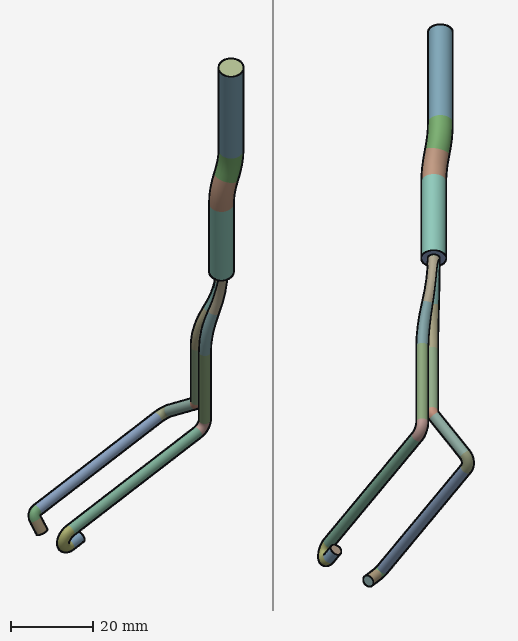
import cadquery as cq
import math

total_height = 130.6
handle_diameter = 6.1
handle_length = 70.0
handle_jog = 3.4
handle_jog_depth = 37.3
handle_jog_span = 15.7

wire_diameter = 3.0
wire_jog = 5.9
wire_jog_depth = 12.1
wire_jog_span = 22.2
wire_spread = 2.7

main_rail_height = 9.8
main_bend_radius = 2.6
hook_radius = 2.5
hook_reach = 57.0
hook_return = 3.7

side_rail_height = 5.1
side_rail_offset = 13.6
side_arm_angle = 46.0
side_arm_bend_radius = 2.0
side_rail_bend_radius = 2.6
tip_reach = 56.0
tip_angle = 52.0
tip_bend_radius = 1.6

shortest_straight = 0.01

handle_bottom = total_height - handle_length
handle_bottom_y = -handle_jog
upright_y = handle_bottom_y - wire_jog


def rounded_path(start, bends, end):
    """Wire from start to end through (corner, radius) bends, each corner rounded by a tangent arc."""
    corners = [cq.Vector(*corner) for corner, _ in bends]
    points = [cq.Vector(*start), *corners, cq.Vector(*end)]
    edges = []
    position = points[0]
    for i, (_, radius) in enumerate(bends, start=1):
        corner = points[i]
        incoming = (corner - points[i - 1]).normalized()
        outgoing = (points[i + 1] - corner).normalized()
        turn = incoming.getAngle(outgoing)
        setback = radius * math.tan(turn / 2)
        arc_start = corner - incoming * setback
        arc_end = corner + outgoing * setback
        inward = (outgoing - incoming).normalized()
        arc_middle = corner + inward * (radius / math.cos(turn / 2) - radius)
        if (arc_start - position).Length > shortest_straight:
            edges.append(cq.Edge.makeLine(position, arc_start))
        edges.append(cq.Edge.makeThreePointArc(arc_start, arc_middle, arc_end))
        position = arc_end
    edges.append(cq.Edge.makeLine(position, points[-1]))
    return cq.Wire.assembleEdges(edges)


def jog_bends(upper, lower, middle_z, span):
    """Two opposite bends that step a downward path from (x, y) upper to (x, y) lower."""
    step = math.dist(upper, lower)
    corner_rise = span / 4
    tilt = math.atan2(step, 2 * corner_rise)
    radius = math.hypot(step / 2, corner_rise) / math.tan(tilt / 2)
    return [
        ((*upper, middle_z + corner_rise), radius),
        ((*lower, middle_z - corner_rise), radius),
    ]


def round_bar(start, bends, end, diameter):
    """Round bar that starts downward and follows a rounded path."""
    path = rounded_path(start, bends, end)
    return cq.Workplane("XY", origin=start).circle(diameter / 2).sweep(cq.Workplane(obj=path))


def make_handle():
    jog = jog_bends((0, 0), (0, handle_bottom_y), total_height - handle_jog_depth, handle_jog_span)
    return round_bar((0, 0, total_height), jog, (0, handle_bottom_y, handle_bottom), handle_diameter)


def wire_jog_bends(upright_x):
    """Step of a wire from the handle's lower end to its upright stretch."""
    return jog_bends(
        (0, handle_bottom_y), (upright_x, upright_y), handle_bottom - wire_jog_depth, wire_jog_span
    )


def make_main_wire():
    """Upright wire that turns into a straight rail and ends in a U-turn underneath it."""
    hook_bottom = main_rail_height - 2 * hook_radius
    hook_front = -hook_reach - hook_radius
    bends = wire_jog_bends(0) + [
        ((0, upright_y, main_rail_height), main_bend_radius),
        ((0, hook_front, main_rail_height), hook_radius),
        ((0, hook_front, hook_bottom), hook_radius),
    ]
    end = (0, -hook_reach + hook_return, hook_bottom)
    return round_bar((0, handle_bottom_y, handle_bottom), bends, end, wire_diameter)


def make_side_wire(main_wire):
    """Wire that parts from the main wire, slopes sideways to its own rail and ends in a bent tip."""
    arm_rise = (side_rail_offset - wire_spread) * math.tan(math.radians(side_arm_angle))
    tip_end_height = wire_diameter / 2 * math.cos(math.radians(tip_angle))
    tip_run = (side_rail_height - tip_end_height) / math.tan(math.radians(tip_angle))
    bends = wire_jog_bends(-wire_spread) + [
        ((-wire_spread, upright_y, side_rail_height + arm_rise), side_arm_bend_radius),
        ((-side_rail_offset, upright_y, side_rail_height), side_rail_bend_radius),
        ((-side_rail_offset, -tip_reach, side_rail_height), tip_bend_radius),
    ]
    end = (-side_rail_offset + tip_run, -tip_reach, tip_end_height)
    side_wire = round_bar((0, handle_bottom_y, handle_bottom), bends, end, wire_diameter)
    return side_wire.cut(main_wire)


handle = make_handle()
main_wire = make_main_wire()
side_wire = make_side_wire(main_wire)

result = cq.Compound.makeCompound([handle.val(), main_wire.val(), *side_wire.vals()])